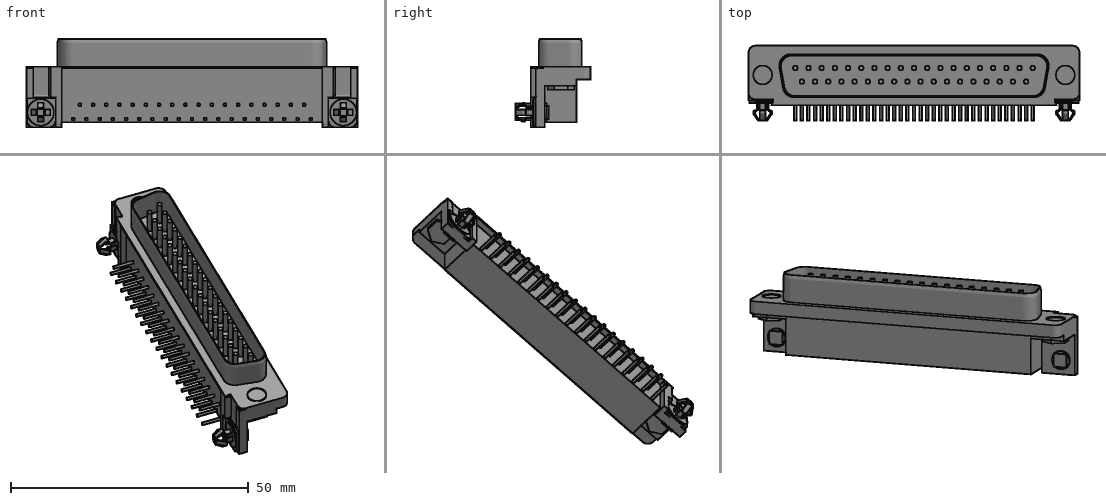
import cadquery as cq
import math


half_length = 34.8
flange_back = 12.6
flange_top = 12.7
shell_top = 18.6
tail_tip = -3.2

sheet_thickness = 0.35
sheet_back_radius = 1.5
sheet_front_radius = 1.3
sheet_corner_x = 30.0
sheet_notch_x = 29.55
sheet_notch_y = 0.8
sheet_bottom = flange_top - sheet_thickness

flange_bottom = 10.0
seat_back = 9.7
seat_bottom = 8.75
leg_back = 3.0
leg_inner_x = 27.4
strip_front = 1.1
strip_inner_x = 33.3

groove_floor = 1.3
groove_floor_inner_x = 30.05
groove_front_inner_x = 29.7
ledge_top = 6.9
ledge_bottom = 6.3

body_front = 1.25
body_bottom = 1.05

shell_back = 10.8
shell_front = 1.7
shell_half_width = 28.3
shell_side_angle = 10.0
shell_radius = 2.5
shell_wall = 0.35
rim_height = 0.75
rim_inset = 0.2

contact_count = 37
long_row_length = 49.9
pin_diameter = 1.0
tail_diameter = 0.6
pin_top = 17.8
long_row_y = 7.85
short_row_y = 5.0
long_row_z = 1.75
short_row_z = 4.7
long_count = (contact_count + 1) // 2
short_count = contact_count - long_count
pitch = long_row_length / (long_count - 1)

mount_x = 31.8
mount_y = 6.4
mount_recess_diameter = 3.95
mount_recess_depth = 0.2
nut_across_corners = 5.55
nut_bottom = 7.9
nut_turn = 90.0

lock_z = 3.1
lock_inner_x = 28.65
plate_outer_x = 34.65
plate_top = 6.05
plate_front = 0.6
plate_radius = 1.4
disc_front = 0.4
disc_radius = 2.8
prong_width = 1.25
prong_thickness = 0.3
prong_neck = 1.25
prong_tip = 1.0
barb_reach = 2.0
barb_shoulder = 1.8
barb_start = -0.9
barb_top = -1.1
barb_end = -1.95
barb_middle = (barb_top + barb_end) / 2
head_back = 3.4
head_radius = 1.95
head_stub_back = 3.8
head_stub_side = 2.85


def box(x0, x1, y0, y1, z0, z1):
    return cq.Workplane("XY").box(x1 - x0, y1 - y0, z1 - z0, centered=False).translate((x0, y0, z0))


def both_ends(shape):
    return shape.union(shape.mirror("YZ"))


def face_sheet():
    sheet = box(-half_length, half_length, 0, flange_back, sheet_bottom, flange_top)
    sheet = sheet.edges("|Z and >Y").fillet(sheet_back_radius)
    step = [
        (half_length, 0),
        (sheet_corner_x, 0),
        (sheet_notch_x, sheet_notch_y),
        (sheet_notch_x, groove_floor),
        (half_length, groove_floor),
    ]
    step_cutter = cq.Workplane("XY").polyline(step).close().extrude(flange_top)
    sheet = sheet.cut(both_ends(step_cutter))
    for end_face in ("<X", ">X"):
        sheet = sheet.faces(end_face).edges("|Z and <Y").fillet(sheet_front_radius)
    return sheet


def moulding():
    flange = box(-half_length, half_length, body_front, flange_back, flange_bottom, sheet_bottom)
    flange = flange.edges("|Z and >Y").fillet(sheet_back_radius)
    body = box(-leg_inner_x, leg_inner_x, body_front, seat_back, body_bottom, sheet_bottom)
    return flange.union(body).union(both_ends(bracket())).cut(both_ends(groove()))


def bracket():
    seat = box(leg_inner_x, half_length, strip_front, seat_back, seat_bottom, sheet_bottom)
    leg = box(leg_inner_x, half_length, 0, leg_back, 0, sheet_bottom)
    strip_step = box(strip_inner_x, half_length, 0, strip_front, 0, sheet_bottom)
    lock_pocket = box(lock_inner_x, half_length, 0, strip_front, 0, ledge_bottom)
    return seat.union(leg).cut(strip_step).cut(lock_pocket)


def groove():
    plan = [
        (strip_inner_x, 0),
        (groove_front_inner_x, 0),
        (groove_floor_inner_x, groove_floor),
        (strip_inner_x, groove_floor),
    ]
    cutter = cq.Workplane("XY").polyline(plan).close().extrude(sheet_bottom)
    side = cq.Workplane("YZ").moveTo(0, sheet_bottom).lineTo(groove_floor, sheet_bottom)
    side = side.lineTo(groove_floor, ledge_top).tangentArcPoint((plate_front, ledge_bottom), relative=False)
    side = side.lineTo(0, ledge_bottom).close().extrude(half_length)
    return cutter.intersect(side)


def shell_block(inset):
    slope = math.radians(shell_side_angle)
    radius = shell_radius - inset
    arc_center_x = shell_half_width - shell_radius
    arc_center_y = shell_back - shell_radius
    back = shell_back - inset
    front = shell_front + inset

    def side_x(y):
        return arc_center_x + radius / math.cos(slope) + (y - arc_center_y) * math.tan(slope)

    outline = [(-side_x(front), front), (side_x(front), front), (side_x(back), back), (-side_x(back), back)]
    block = cq.Workplane("XY").workplane(offset=flange_top).polyline(outline).close()
    return block.extrude(shell_top - flange_top).edges("|Z").fillet(radius)


def shell():
    outer = shell_block(0).faces(">Z").chamfer(rim_height, rim_inset)
    return outer.cut(shell_block(shell_wall))


def contact_row(count, pin_y, tail_z):
    places = [((i - (count - 1) / 2) * pitch, 0) for i in range(count)]
    pins = cq.Workplane("XY", origin=(0, pin_y, sheet_bottom)).pushPoints(places)
    pins = pins.circle(pin_diameter / 2).extrude(pin_top - sheet_bottom)
    tails = cq.Workplane("XZ", origin=(0, leg_back, tail_z)).pushPoints(places)
    tails = tails.circle(tail_diameter / 2).extrude(leg_back - tail_tip)
    return pins, tails


def mount_nut():
    nut = cq.Workplane("XY", origin=(mount_x, mount_y, nut_bottom)).polygon(6, nut_across_corners)
    return nut.extrude(flange_bottom - nut_bottom).rotate(
        (mount_x, mount_y, 0), (mount_x, mount_y, 1), nut_turn
    )


def mount_recess():
    recess = cq.Workplane("XY", origin=(mount_x, mount_y, flange_top))
    return recess.circle(mount_recess_diameter / 2).extrude(-mount_recess_depth)


def lock_prong():
    neck_inner = prong_neck - prong_thickness
    barb_inner = barb_reach - prong_thickness
    arm = (
        cq.Workplane("XY")
        .moveTo(prong_neck, strip_front)
        .lineTo(prong_neck, barb_start)
        .lineTo(barb_shoulder, barb_top)
        .threePointArc((barb_reach, barb_middle), (barb_shoulder, barb_end))
        .lineTo(prong_tip, tail_tip)
        .lineTo(prong_tip - prong_thickness, tail_tip)
        .lineTo(barb_inner, barb_middle)
        .lineTo(neck_inner, barb_start)
        .lineTo(neck_inner, strip_front)
        .close()
    )
    return arm.extrude(prong_width / 2, both=True)


def board_lock():
    plate = box(lock_inner_x, plate_outer_x, plate_front, strip_front, 0, plate_top)
    plate = plate.edges("|Y and <Z").fillet(plate_radius)
    axis = cq.Workplane("XZ", origin=(mount_x, 0, lock_z))
    disc = axis.workplane(offset=-strip_front).circle(disc_radius).extrude(strip_front - disc_front)
    head = axis.workplane(offset=-head_back).circle(head_radius).extrude(head_back - leg_back)
    stub = axis.workplane(offset=-head_stub_back).rect(head_stub_side, head_stub_side)
    stub = stub.extrude(head_stub_back - leg_back)
    lock = plate.union(disc).union(head).union(stub)
    for quarter in range(4):
        arm = lock_prong().rotate((0, 0, 0), (0, 1, 0), quarter * 90)
        lock = lock.union(arm.translate((mount_x, 0, lock_z)))
    return lock


result = moulding().union(face_sheet()).union(shell())
for pins_and_tails in (
    contact_row(long_count, long_row_y, long_row_z),
    contact_row(short_count, short_row_y, short_row_z),
):
    for round_bars in pins_and_tails:
        result = result.union(round_bars)
result = result.union(both_ends(mount_nut()))
result = result.cut(both_ends(mount_recess()))
result = result.union(both_ends(board_lock())).clean()